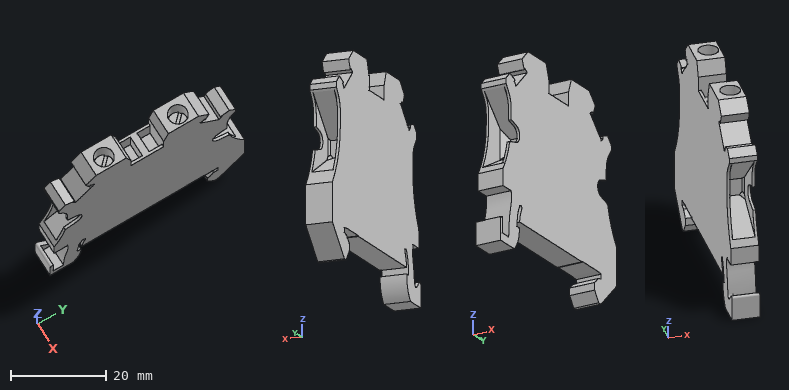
import cadquery as cq
import math

THICKNESS = 6.15
HALF_LENGTH = 24.0
HEIGHT = 46.85

POCKET_WIDTH = 4.85
POCKET_BACK = 12.85
POCKET_REACH = 10.55
BACK_TOP = 27.55
BACK_BOTTOM = 23.65
FUNNEL_X = 0.5
BACK_HALF_WIDTH = 1.6
BACK_CHAMFER_HEIGHT = 0.75
BACK_CHAMFER_WIDTH = 0.6
CEILING_SLOPE = math.tan(math.radians(44.2))
FLOOR_SLOPE = math.tan(math.radians(30))
SIDE_SLOPE = 0.64
CHAMFER_DROP_SLOPE = 0.88
CHAMFER_SPREAD_SLOPE = (
    SIDE_SLOPE + (CHAMFER_DROP_SLOPE - FLOOR_SLOPE) * BACK_CHAMFER_WIDTH / BACK_CHAMFER_HEIGHT
)

NOTCH_RADIUS = 2.0
NOTCH_CENTRE_Y = 18.15
NOTCH_CENTRE_Z = 26.4
NOTCH_FLARE = math.radians(15)
NOTCH_REACH = 5.75

SCREW_X = 0.45
SCREW_Y = 9.1
SCREW_RADIUS = 2.15
SCREW_DEPTH = 4.8
SCREW_SLOT_WIDTH = 0.7
SCREW_SLOT_DEPTH = 0.5
SCREW_SLOT_ANGLE = -45

GAP_HALF_WIDTH = 4.05
GAP_FLOOR = 40.3
BRIDGE_RIB = 1.7
BRIDGE_DEPTH = 4.8

WAIST_Y = 19.7
WAIST_TOP = 31.5
WAIST_BOTTOM = 28.95
FLANK_RADIUS = 24.25
LIP_Y = 21.8
LIP_BOTTOM = 36.4
FLANK_START = (21.0, 35.35)

BASE_Z = 6.85
SEAT_RELIEF = 0.15
HOOK_ROOT_Y = 17.45
HOOK_TIP_Y = 14.8
FOOT_TOP = 5.5
SHOULDER_Y = 23.0
SHOULDER_BOTTOM = 12.75
LEVER_TOP = 5.45

LEVER_WALL_Y = 20.7
LEVER_WALL_RADIUS = 31.2
LEVER_WALL_TOP = 9.5
LEVER_WEB_TOP = 4.4
LEVER_WEB_THICKNESS = 1.05
LEVER_LIP_THICKNESS = 0.8
LEVER_WELL_FLOOR = 1.9


def flank_y(z):
    """Distance of the large concave flank from Y = 0 at height z."""
    drop = WAIST_BOTTOM - z
    return WAIST_Y + FLANK_RADIUS - math.sqrt(FLANK_RADIUS**2 - drop**2)


def flank_z(y):
    """Height at which the large concave flank is y away from Y = 0."""
    return WAIST_BOTTOM - math.sqrt(FLANK_RADIUS**2 - (WAIST_Y + FLANK_RADIUS - y) ** 2)


def lever_wall(z):
    """Point at height z on the curved wall behind the release lever."""
    rise = z - LEVER_WELL_FLOOR
    return (LEVER_WALL_RADIUS - math.sqrt(LEVER_WALL_RADIUS**2 - rise**2) - LEVER_WALL_Y, z)


TOP_EDGE = [
    (GAP_HALF_WIDTH, GAP_FLOOR),
    (GAP_HALF_WIDTH, 43.55),
    (5.2, HEIGHT),
    (12.6, HEIGHT),
    (15.15, 44.3),
    (14.3, 42.15),
    (13.95, 42.5),
    (13.05, 41.85),
    (17.65, 37.25),
    (18.35, 38.05),
    (18.0, 38.45),
    (20.2, 39.25),
    (LIP_Y, 37.65),
    (LIP_Y, LIP_BOTTOM),
    FLANK_START,
]


def mirrored(points):
    """The same path on the other side of the symmetry axis, run backwards."""
    return [(-y, z) for y, z in reversed(points)]


def housing():
    """Full-thickness plate with the outer contour of the block."""
    waist_mid = (FLANK_START[1] + WAIST_TOP) / 2
    flare, rise = FLANK_START[0] - WAIST_Y, FLANK_START[1] - WAIST_TOP
    upper_radius = (flare**2 + rise**2) / (2 * flare)
    upper_mid_y = WAIST_Y + upper_radius - math.sqrt(upper_radius**2 - (rise / 2) ** 2)
    left_end_z = flank_z(HALF_LENGTH)
    left_mid_z = (WAIST_BOTTOM + left_end_z) / 2
    right_end_z = flank_z(SHOULDER_Y)
    right_mid_z = (WAIST_BOTTOM + right_end_z) / 2

    outline = cq.Workplane("YZ").moveTo(*mirrored(TOP_EDGE)[0])
    for point in mirrored(TOP_EDGE)[1:] + TOP_EDGE:
        outline = outline.lineTo(*point)
    outline = (
        outline
        .threePointArc((upper_mid_y, waist_mid), (WAIST_Y, WAIST_TOP))
        .lineTo(WAIST_Y, WAIST_BOTTOM)
        .threePointArc((flank_y(left_mid_z), left_mid_z), (HALF_LENGTH, left_end_z))
        .lineTo(HALF_LENGTH, 6.4)
        .lineTo(HOOK_ROOT_Y, 0)
        .lineTo(16.45, 0)
        .lineTo(HOOK_TIP_Y, 2.3)
        .lineTo(HOOK_TIP_Y, 4.05)
        .lineTo(16.3, 5.45)
        .lineTo(HOOK_ROOT_Y, 5.75)
        .lineTo(HOOK_ROOT_Y, BASE_Z)
        .lineTo(16.05, BASE_Z + SEAT_RELIEF)
        .lineTo(9.8, BASE_Z + SEAT_RELIEF)
        .lineTo(9.8, BASE_Z)
        .lineTo(-16.2, BASE_Z)
        .threePointArc((-15.9, 8.55), (-15.3, 10.1))
        .threePointArc((-15.7, 10.8), (-16.15, 10.55))
        .threePointArc((-17.0, 8.25), (-17.2, FOOT_TOP))
        .lineTo(-16.3, FOOT_TOP)
        .threePointArc((-16.8, 2.35), (-18.3, 0))
        .lineTo(-HALF_LENGTH, 0)
        .lineTo(-HALF_LENGTH, 5.15)
        .threePointArc((-23.7, 5.5), (-23.2, LEVER_TOP))
        .lineTo(-21.65, 3.95)
        .threePointArc((-21.0, 3.9), lever_wall(LEVER_WEB_TOP))
        .threePointArc(lever_wall((LEVER_WEB_TOP + LEVER_WALL_TOP) / 2), lever_wall(LEVER_WALL_TOP))
        .threePointArc((-19.55, 11.15), (-19.7, SHOULDER_BOTTOM))
        .lineTo(-SHOULDER_Y, SHOULDER_BOTTOM)
        .lineTo(-SHOULDER_Y, right_end_z)
        .threePointArc((-flank_y(right_mid_z), right_mid_z), (-WAIST_Y, WAIST_BOTTOM))
        .lineTo(-WAIST_Y, WAIST_TOP)
        .threePointArc((-upper_mid_y, waist_mid), mirrored(TOP_EDGE)[0])
        .close()
    )
    return outline.extrude(THICKNESS / 2, both=True)


def funnel_section(distance):
    """Funnel outline in X and Z, at a distance in front of the back wall."""
    top = BACK_TOP + CEILING_SLOPE * distance
    side = BACK_HALF_WIDTH + SIDE_SLOPE * distance
    side_bottom = BACK_BOTTOM + BACK_CHAMFER_HEIGHT - CHAMFER_DROP_SLOPE * distance
    floor = BACK_BOTTOM - FLOOR_SLOPE * distance
    floor_side = BACK_HALF_WIDTH - BACK_CHAMFER_WIDTH + CHAMFER_SPREAD_SLOPE * distance
    right_half = [(side, top), (side, side_bottom), (floor_side, floor)]
    return [(FUNNEL_X + x, z) for x, z in right_half + mirrored(right_half)]


def wire_pocket():
    """Funnel in the -Y end, trimmed by the two flat side walls."""
    funnel = (
        cq.Workplane("XZ", origin=(0, -POCKET_BACK, 0))
        .polyline(funnel_section(0)).close()
        .workplane(offset=POCKET_REACH)
        .polyline(funnel_section(POCKET_REACH)).close()
        .loft(ruled=True)
    )
    between_walls = cq.Workplane().box(
        POCKET_WIDTH, 2 * HALF_LENGTH, HEIGHT, centered=(True, True, False)
    )
    return funnel.intersect(between_walls)


def thumb_notch():
    """Flared slot with a round end, through the +X wall of the -Y pocket."""
    tangent_y = -NOTCH_CENTRE_Y + NOTCH_RADIUS * math.sin(NOTCH_FLARE)
    tangent_rise = NOTCH_RADIUS * math.cos(NOTCH_FLARE)
    mouth_y = tangent_y - NOTCH_REACH
    mouth_rise = tangent_rise + NOTCH_REACH * math.tan(NOTCH_FLARE)
    return (
        cq.Workplane("YZ", origin=(POCKET_WIDTH / 2, 0, 0))
        .moveTo(mouth_y, NOTCH_CENTRE_Z + mouth_rise)
        .lineTo(tangent_y, NOTCH_CENTRE_Z + tangent_rise)
        .threePointArc(
            (-NOTCH_CENTRE_Y + NOTCH_RADIUS, NOTCH_CENTRE_Z),
            (tangent_y, NOTCH_CENTRE_Z - tangent_rise),
        )
        .lineTo(mouth_y, NOTCH_CENTRE_Z - mouth_rise)
        .close()
        .extrude(THICKNESS - POCKET_WIDTH)
    )


def screw_well(y):
    """Round well with a slotted screw head at its bottom."""
    head_z = HEIGHT - SCREW_DEPTH
    well = cq.Workplane(origin=(SCREW_X, y, head_z)).circle(SCREW_RADIUS).extrude(SCREW_DEPTH)
    slot = (
        cq.Workplane(origin=(SCREW_X, y, head_z - SCREW_SLOT_DEPTH))
        .transformed(rotate=(0, 0, SCREW_SLOT_ANGLE))
        .rect(2 * SCREW_RADIUS, SCREW_SLOT_WIDTH)
        .extrude(SCREW_SLOT_DEPTH)
        .intersect(well.translate((0, 0, -SCREW_SLOT_DEPTH)))
    )
    return well.union(slot)


def bridge_pocket(side):
    """Rectangular pocket in the gap floor, on one side of the central rib."""
    length = GAP_HALF_WIDTH - BRIDGE_RIB / 2
    centre_y = side * (GAP_HALF_WIDTH + BRIDGE_RIB / 2) / 2
    return (
        cq.Workplane(origin=(0, centre_y, GAP_FLOOR - BRIDGE_DEPTH))
        .rect(POCKET_WIDTH, length)
        .extrude(BRIDGE_DEPTH)
    )


def lever_well():
    """Well that continues the curved wall down, from the -X web out through +X."""
    lip_y = LEVER_LIP_THICKNESS - HALF_LENGTH
    return (
        cq.Workplane("YZ", origin=(LEVER_WEB_THICKNESS - THICKNESS / 2, 0, 0))
        .moveTo(lip_y, LEVER_TOP)
        .lineTo(lip_y, LEVER_WELL_FLOOR)
        .lineTo(-LEVER_WALL_Y, LEVER_WELL_FLOOR)
        .threePointArc(lever_wall((LEVER_WELL_FLOOR + LEVER_TOP) / 2), lever_wall(LEVER_TOP))
        .close()
        .extrude(THICKNESS)
    )


result = housing()
end_cut = wire_pocket().union(thumb_notch())
result = result.cut(end_cut).cut(end_cut.mirror("XZ")).cut(lever_well())
for side in (-1, 1):
    result = result.cut(screw_well(side * SCREW_Y)).cut(bridge_pocket(side))